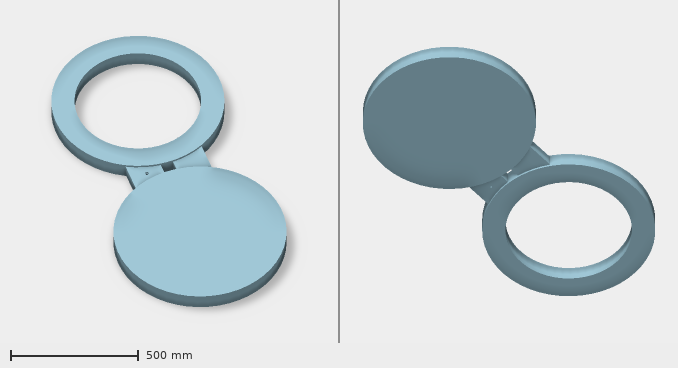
import cadquery as cq

overall_length = 1403.0
plate_diameter = 679.0
plate_thickness = 63.0

bore_diameter = 497.0

web_width = 317.0
web_thickness = 46.0
window_width = 50.0

pin_hole_diameter = 8.0
counterbore_diameter = 15.0
counterbore_depth = 4.0

plate_radius = plate_diameter / 2
plate_offset = overall_length / 2 - plate_radius
band_center_y = (web_width + window_width) / 4


def disc(center_x, center_y, diameter, thickness):
    """Upright cylinder centred on the mid-plane Z = 0."""
    half_thickness = thickness / 2
    return (
        cq.Workplane("XY")
        .center(center_x, center_y)
        .circle(diameter / 2)
        .extrude(half_thickness, both=True)
    )


def web():
    """Two bands spanning between the plate centres, with a window left between them."""
    span = 2 * plate_offset
    bar = cq.Workplane("XY").box(span, web_width, web_thickness)
    window = cq.Workplane("XY").box(span, window_width, web_thickness)
    return (
        bar.cut(window)
        .faces(">Z")
        .workplane(origin=(0, -band_center_y, 0))
        .cboreHole(pin_hole_diameter, counterbore_diameter, counterbore_depth)
    )


ring_plate = disc(-plate_offset, 0, plate_diameter, plate_thickness)
blank_plate = disc(plate_offset, 0, plate_diameter, plate_thickness)
ring_bore = disc(-plate_offset, 0, bore_diameter, plate_thickness)

result = ring_plate.union(blank_plate).union(web()).cut(ring_bore)